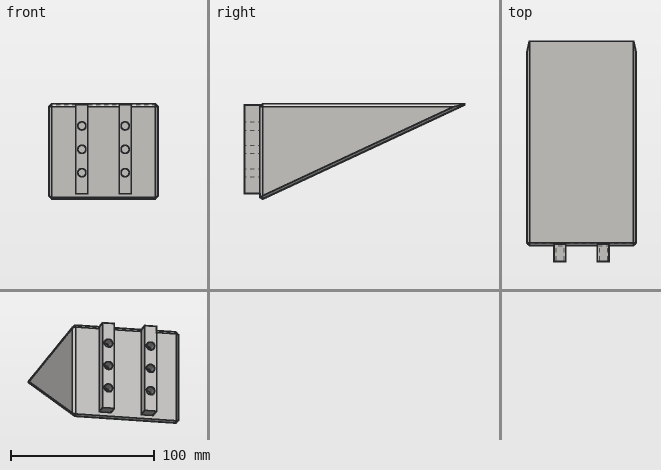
import cadquery as cq
import math

body_width = 76.0
body_length = 142.5
body_height = 66.4
underside_angle = math.radians(25)
chamfer = 2.1

total_length = 153.4

rail_width = 8.5
rail_depth = total_length - body_length
rail_height = 61.7
rail_top_gap = 0.9
rail_spacing = 30.0
hole_diameter = 5.7
hole_pitch = 16.3
holes_per_rail = 3
hole_depth = rail_depth

sharp_height = body_height + chamfer * math.sin(underside_angle)
tip_thickness = sharp_height - body_length * math.tan(underside_angle)

underside_setback = chamfer * math.cos(underside_angle)
underside_side_rise = chamfer / math.cos(underside_angle)

half_width = body_width / 2
rail_middle = -rail_top_gap - rail_height / 2


def wedge():
    """Side outline of the wedge, with its two front edges chamfered, across the full width."""
    outline = [
        (chamfer, 0),
        (body_length, 0),
        (body_length, -tip_thickness),
        (underside_setback, -body_height),
        (0, -sharp_height + chamfer),
        (0, -chamfer),
    ]
    return cq.Workplane("YZ").polyline(outline).close().extrude(half_width, both=True)


def trim(body, first, second, third):
    """Cut away everything on the outer side (away from X = 0) of the plane through three points."""
    origin = cq.Vector(*first)
    normal = (cq.Vector(*second) - origin).cross(cq.Vector(*third) - origin)
    if normal.x * origin.x < 0:
        normal = normal * -1
    reach = 4 * body_length
    waste = cq.Workplane(cq.Plane(origin=origin, normal=normal)).rect(reach, reach).extrude(body_width)
    return body.cut(waste)


def chamfer_side(body, side):
    """Chamfer the edges and front corners around one side face (side is -1 or +1)."""
    outer = side * half_width
    inner = side * (half_width - chamfer)

    top_corner = (inner, chamfer, 0)
    top_on_side = (outer, chamfer, -chamfer)
    top_on_front = (inner, 0, -chamfer)
    top_tip = (inner, body_length, 0)
    low_corner = (inner, underside_setback, -body_height)
    low_on_side = (outer, underside_setback, -body_height + underside_side_rise)
    low_on_front = (inner, 0, -sharp_height + chamfer)
    low_tip = (inner, body_length, -tip_thickness)
    front_on_side = (outer, chamfer, -body_height)

    body = trim(body, top_corner, top_on_side, top_tip)
    body = trim(body, top_on_side, top_on_front, front_on_side)
    body = trim(body, low_corner, low_on_side, low_tip)

    body = trim(body, top_corner, top_on_side, top_on_front)
    return trim(body, low_corner, low_on_side, low_on_front)


def rails():
    """Rails standing out from the front face, rooted inside the body behind the top chamfer."""
    return (
        cq.Workplane("XZ", origin=(0, chamfer, rail_middle))
        .rarray(rail_spacing, 1.5, 2, 1)
        .rect(rail_width, rail_height)
        .extrude(rail_depth + chamfer)
    )


def rail_holes():
    """Holes running back from the rail faces."""
    return (
        cq.Workplane("XZ", origin=(0, -rail_depth, rail_middle))
        .rarray(rail_spacing, hole_pitch, 2, holes_per_rail)
        .circle(hole_diameter / 2)
        .extrude(-hole_depth)
    )


body = wedge()
for side in (-1, 1):
    body = chamfer_side(body, side)

result = body.union(rails()).cut(rail_holes())